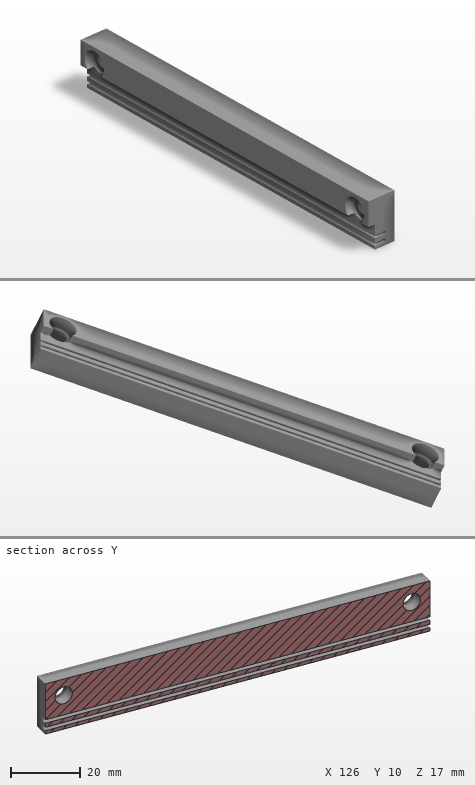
import cadquery as cq

length = 126.0
depth = 10.0
height = 17.0

step_depth = 2.5
head_height = 8.6

groove_count = 2
groove_depth = 4.0
groove_width = 1.0
groove_pitch = 2.5
lowest_lip = 1.3

hole_diameter = 5.5
counterbore_diameter = 8.5
counterbore_depth = 3.5
hole_end_distance = 6.0
hole_top_distance = 5.5


def box_between(y_range, z_range):
    """Full-length box centred on X, spanning the given Y and Z ranges."""
    y_size = y_range[1] - y_range[0]
    z_size = z_range[1] - z_range[0]
    return (
        cq.Workplane("XY")
        .box(length, y_size, z_size, centered=(True, False, False))
        .translate((0, y_range[0], z_range[0]))
    )


def drill_along_y(diameter, drill_depth):
    """Cylinders at both hole positions, running from the front face into the bar."""
    x_offset = length / 2 - hole_end_distance
    z_center = height - hole_top_distance
    return (
        cq.Workplane("XZ", origin=(0, 0, z_center))
        .pushPoints([(-x_offset, 0), (x_offset, 0)])
        .circle(diameter / 2)
        .extrude(-drill_depth)
    )


bar = box_between((0, depth), (0, height))
bar = bar.cut(box_between((0, step_depth), (0, height - head_height)))

for index in range(groove_count):
    groove_bottom = lowest_lip + index * groove_pitch
    groove_y = (step_depth, step_depth + groove_depth)
    bar = bar.cut(box_between(groove_y, (groove_bottom, groove_bottom + groove_width)))

bar = bar.cut(drill_along_y(hole_diameter, depth))
bar = bar.cut(drill_along_y(counterbore_diameter, counterbore_depth))

result = bar